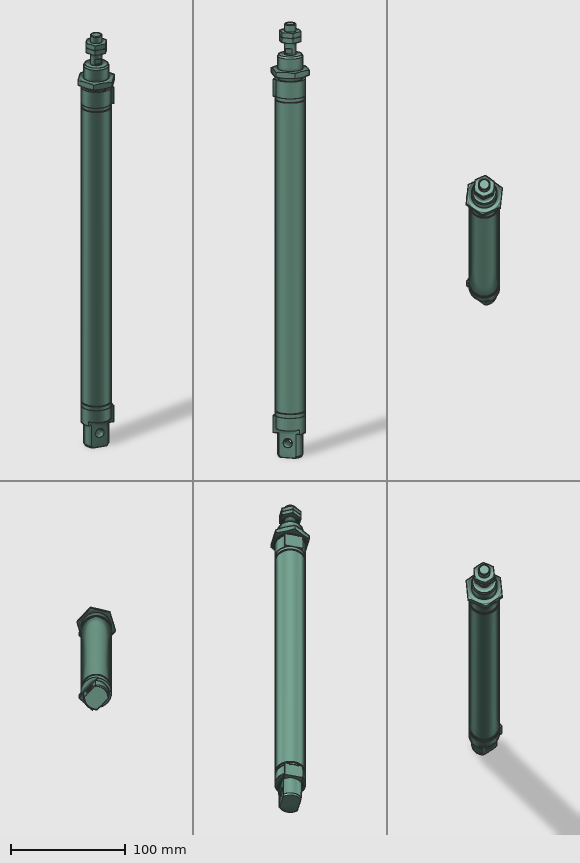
import cadquery as cq
import math

rod_top = 389.0
rod_nut_bottom = 373.0
rod_nut_thickness = 4.5
rod_nut_count = 2
wrench_flat_bottom = 362.5
wrench_flat_height = 4.5
neck_top = 361.5
mount_nut_bottom = 343.0
mount_nut_thickness = 5.5
cap_height = 15.0
front_cap_bottom = 324.5
front_cap_top = front_cap_bottom + cap_height
rear_cap_bottom = 21.8
rear_cap_top = rear_cap_bottom + cap_height
tang_flat_top = 25.5
pivot_hole_height = 13.2

rod_diameter = 10.0
rod_tip_diameter = 8.5
neck_diameter = 22.0
neck_tip_diameter = 20.2
cap_diameter = 27.0
tube_diameter = 26.5
groove_diameter = 25.0
pivot_hole_diameter = 8.0

collar_length = 3.5
groove_width = 0.5
neck_taper_length = 1.75
tang_thickness = 16.0
wrench_flat_width = 8.0
rod_nut_width = 17.0
mount_nut_width = 30.0
nut_chamfer_angle = 15.0


def revolve_profile(points):
    """Solid of revolution about Z from (radius, height) points running up the outside."""
    bottom = points[0][1]
    top = points[-1][1]
    outline = [(0, bottom), *points, (0, top)]
    return cq.Workplane("XZ").polyline(outline).close().revolve(360, (0, 0, 0), (0, 1, 0))


def flats_cutter(width, bottom, height):
    """Two blocks that leave only the material with |x| below half the width."""
    block_size = 2 * cap_diameter
    outer = cq.Workplane("XY").box(block_size, block_size, height, centered=(True, True, False))
    kept = cq.Workplane("XY").box(width, block_size, height, centered=(True, True, False))
    return outer.cut(kept).translate((0, 0, bottom))


def make_port_pad(bottom):
    """Flat pad on the +Y side of a cap, as wide as the tang and flush with the cap's edge."""
    return (
        cq.Workplane("XY", origin=(0, 0, bottom))
        .center(0, cap_diameter / 4)
        .rect(tang_thickness, cap_diameter / 2)
        .extrude(cap_height)
    )


def make_groove_cutter(bottom):
    """Ring that cuts a narrow groove around the tube."""
    return (
        cq.Workplane("XY", origin=(0, 0, bottom))
        .circle(cap_diameter / 2)
        .circle(groove_diameter / 2)
        .extrude(groove_width)
    )


def make_cylinder():
    """Tube with both end caps, the threaded neck in front and the tang at the rear."""
    neck_radius = neck_diameter / 2
    neck_tip_radius = neck_tip_diameter / 2
    cap_radius = cap_diameter / 2
    tube_radius = tube_diameter / 2
    cylinder = revolve_profile([
        (neck_tip_radius, 0),
        (neck_radius, neck_taper_length),
        (neck_radius, rear_cap_bottom),
        (cap_radius, rear_cap_bottom),
        (cap_radius, rear_cap_top),
        (tube_radius, rear_cap_top),
        (tube_radius, front_cap_bottom),
        (cap_radius, front_cap_bottom),
        (cap_radius, front_cap_top),
        (neck_radius, front_cap_top),
        (neck_radius, neck_top - neck_taper_length),
        (neck_tip_radius, neck_top),
    ])
    for cap_bottom in (rear_cap_bottom, front_cap_bottom):
        cylinder = cylinder.union(make_port_pad(cap_bottom))

    rear_groove_bottom = rear_cap_top + collar_length
    front_groove_bottom = front_cap_bottom - collar_length - groove_width
    for groove_bottom in (rear_groove_bottom, front_groove_bottom):
        cylinder = cylinder.cut(make_groove_cutter(groove_bottom))

    cylinder = cylinder.cut(flats_cutter(tang_thickness, 0, tang_flat_top))

    pivot_hole = (
        cq.Workplane("YZ")
        .center(0, pivot_hole_height)
        .circle(pivot_hole_diameter / 2)
        .extrude(cap_diameter, both=True)
    )
    rod_bore = (
        cq.Workplane("XY", origin=(0, 0, front_cap_bottom))
        .circle(rod_diameter / 2)
        .extrude(neck_top - front_cap_bottom)
    )
    return cylinder.cut(pivot_hole).cut(rod_bore)


def make_rod():
    """Piston rod with a chamfered tip and two wrench flats facing -X and +X."""
    rod = (
        cq.Workplane("XY", origin=(0, 0, front_cap_bottom))
        .circle(rod_diameter / 2)
        .extrude(rod_top - front_cap_bottom)
        .faces(">Z")
        .chamfer((rod_diameter - rod_tip_diameter) / 2)
    )
    return rod.cut(flats_cutter(wrench_flat_width, wrench_flat_bottom, wrench_flat_height))


def make_hex_nut(width, thickness, hole_diameter, bottom):
    """Hexagon nut with corners on the Y axis, its corners chamfered on both ends."""
    corner_radius = width / math.sqrt(3)
    flat_radius = width / 2
    chamfer_height = (corner_radius - flat_radius) * math.tan(math.radians(nut_chamfer_angle))
    hexagon = (
        cq.Workplane("XY")
        .polygon(6, 2 * corner_radius)
        .extrude(thickness)
        .rotate((0, 0, 0), (0, 0, 1), 90)
    )
    chamfer_envelope = revolve_profile([
        (flat_radius, 0),
        (corner_radius, chamfer_height),
        (corner_radius, thickness - chamfer_height),
        (flat_radius, thickness),
    ])
    hole = cq.Workplane("XY").circle(hole_diameter / 2).extrude(thickness)
    return hexagon.intersect(chamfer_envelope).cut(hole).translate((0, 0, bottom))


cylinder = make_cylinder()
rod = make_rod()
mount_nut = make_hex_nut(mount_nut_width, mount_nut_thickness, neck_diameter, mount_nut_bottom)
rod_nuts = []
for index in range(rod_nut_count):
    nut_bottom = rod_nut_bottom + index * rod_nut_thickness
    rod_nuts.append(make_hex_nut(rod_nut_width, rod_nut_thickness, rod_diameter, nut_bottom))

result = cq.Compound.makeCompound(
    [cylinder.val(), rod.val(), mount_nut.val(), *[nut.val() for nut in rod_nuts]]
)